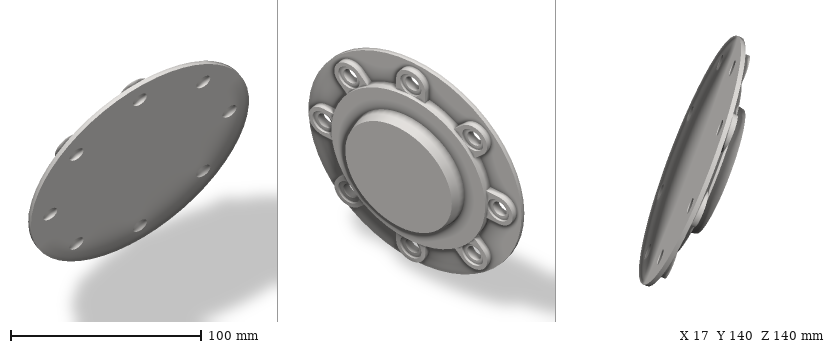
import cadquery as cq

total_depth = 17.0
flange_thickness = 2.5
lug_top = 6.3
step_top = 8.4

flange_radius = 70.0
step_radius = 50.5
boss_base_radius = 37.0
boss_top_radius = 35.0

lug_count = 8
bolt_circle_radius = 57.5
lug_radius = 9.5
hole_radius = 4.5
counterbore_radius = bolt_circle_radius - step_radius
counterbore_depth = 1.4

back_x = total_depth / 2


def plane_above_back(height):
    """Plane facing -X at a height above the back face; local Y is +Z."""
    return cq.Plane(origin=(back_x - height, 0, 0), xDir=(0, -1, 0), normal=(-1, 0, 0))


def disc(radius, height):
    """Round plate rising from the back face."""
    return cq.Workplane(plane_above_back(0)).circle(radius).extrude(height)


def tapered_boss():
    """Central boss narrowing from the step to the front face."""
    return (
        cq.Workplane(plane_above_back(step_top))
        .circle(boss_base_radius)
        .workplane(offset=total_depth - step_top)
        .circle(boss_top_radius)
        .loft(ruled=True)
    )


def lug():
    """Round-ended lug at the top of the bolt circle, its root buried in the step."""
    root_radius = step_radius - lug_radius
    return (
        cq.Workplane(plane_above_back(0))
        .moveTo(-lug_radius, root_radius)
        .lineTo(-lug_radius, bolt_circle_radius)
        .threePointArc((0, bolt_circle_radius + lug_radius), (lug_radius, bolt_circle_radius))
        .lineTo(lug_radius, root_radius)
        .close()
        .extrude(lug_top)
    )


def bolt_hole():
    """Through hole with a shallow counterbore in the lug face."""
    hole = (
        cq.Workplane(plane_above_back(0))
        .center(0, bolt_circle_radius)
        .circle(hole_radius)
        .extrude(lug_top)
    )
    counterbore = (
        cq.Workplane(plane_above_back(lug_top - counterbore_depth))
        .center(0, bolt_circle_radius)
        .circle(counterbore_radius)
        .extrude(counterbore_depth)
    )
    return hole.union(counterbore)


def around_axis(shape, index):
    """Copy of a shape turned to its place on the bolt circle."""
    return shape.rotate((0, 0, 0), (1, 0, 0), index * 360 / lug_count)


result = disc(flange_radius, flange_thickness).union(disc(step_radius, step_top)).union(tapered_boss())

for i in range(lug_count):
    result = result.union(around_axis(lug(), i))

for i in range(lug_count):
    result = result.cut(around_axis(bolt_hole(), i))